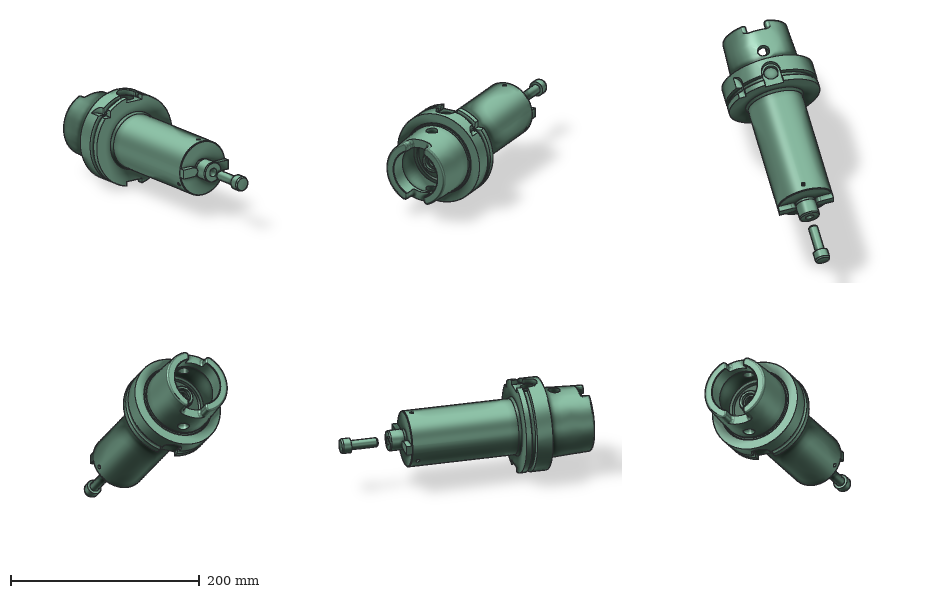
import cadquery as cq

GAUGE_DIAMETER = 75.5
TAPER_RATIO = 0.1
TAPER_EDGE_RADIUS = 1.5
NECK_DIAMETER = 74.0
NECK_LENGTH = 2.7
NECK_BEVEL_LENGTH = 1.0
CLAMP_BORE_DIAMETER = 53.0
CLAMP_BORE_DEPTH = 51.3
CLAMP_BORE_MOUTH_DIAMETER = 54.3
CLAMP_BORE_MOUTH_LENGTH = 0.5
CLAMP_BORE_FLOOR_CHAMFER = 1.5
CAVITY_DIAMETER = 60.0
CAVITY_START = 18.5
ACCESS_HOLE_DIAMETER = 12.5
ACCESS_HOLE_X = 35.5

DRIVE_SLOT_WIDTH = 20.2
DRIVE_SLOT_TOP_DEPTH = 10.3
DRIVE_SLOT_BOTTOM_DEPTH = 14.8
DRIVE_SLOT_CORNER_RADIUS = 2.5
DRIVE_SLOT_LIP_RADIUS = 3.5
DRIVE_SLOT_INNER_END = 19.0
SELECT_MARGIN = 0.3

HUB_DIAMETER = 24.0
HUB_TIP_DIAMETER = 21.5
HUB_START = 34.5
HUB_CHAMFER_LENGTH = 3.0
HUB_MOUTH_DIAMETER = 16.0
HUB_COUNTERBORE_DIAMETER = 12.0
HUB_MOUTH_DEPTH = 4.0
HUB_COUNTERBORE_DEPTH = 8.0
THROUGH_HOLE_DIAMETER = 9.2

FLANGE_DIAMETER = 100.0
FLANGE_START = 50.0
FLANGE_END = 79.0
FACE_RELIEF_DIAMETER = 79.5
FACE_RELIEF_FLOOR_DIAMETER = 77.2
FACE_RELIEF_DEPTH = 1.0
GRIP_GROOVE_DIAMETER = 91.5
GRIP_GROOVE_START = 67.2
GRIP_GROOVE_END = 73.2
GRIP_GROOVE_FLOOR_START = 68.0
GRIP_GROOVE_FLOOR_END = 71.5
GRIP_GROOVE_BEVEL_START = 72.0
GRIP_GROOVE_BEVEL_DIAMETER = 95.5
FLANGE_SLOT_WIDTH = 20.0
FLANGE_SLOT_CENTRE_X = 64.5
FLANGE_SLOT_FLOOR = 44.0
CHIP_HOLE_DIAMETER = 15.5
CHIP_HOLE_DEPTH = 4.9
NOTCH_OFFSET = 31.5

ARBOR_DIAMETER = 60.0
ARBOR_END = 199.5
ARBOR_CHAMFER = 0.8
ARBOR_ROOT_DIAMETER = 63.7
ARBOR_ROOT_LENGTH = 3.0
PILOT_DIAMETER = 22.0
PILOT_END = 218.2
PILOT_CHAMFER = 1.5
PILOT_EDGE_STEP = 0.5
PILOT_NECK_DIAMETER = 21.5
PILOT_NECK_LENGTH = 2.7

KEY_WIDTH = 10.0
KEY_END = 205.5
KEY_OUTER_FLAT = 29.7

COOLANT_HOLE_X = 192.0
COOLANT_MOUTH_DIAMETER = 4.0
COOLANT_HOLE_DIAMETER = 2.5
COOLANT_MOUTH_DEPTH = 2.7
COOLANT_HOLE_DEPTH = 8.0
COOLANT_HOLE_COUNT = 3

SCREW_START = 229.5
SCREW_END = 270.0
SCREW_SHANK_DIAMETER = 10.0
SCREW_TIP_DIAMETER = 7.3
SCREW_TIP_LENGTH = 1.5
SCREW_HEAD_DIAMETER = 16.0
SCREW_HEAD_LENGTH = 10.3
SCREW_HEAD_END_DIAMETER = 14.0
SCREW_HEAD_CHAMFER = 2.0


def turned(profile):
    """Revolve a list of (x, diameter) points about the X axis; the ends are closed on the axis."""
    outline = [(profile[0][0], 0)]
    outline += [(x, diameter / 2) for x, diameter in profile]
    outline += [(profile[-1][0], 0)]
    return cq.Workplane("XY").polyline(outline).close().revolve(360, (0, 0, 0), (1, 0, 0))


def radial_hole(x, diameter, inner_radius, outer_radius, angle=0):
    """Cylinder pointing away from the axis, turned about X by the angle measured from +Z."""
    hole = cq.Workplane("XY", origin=(x, 0, inner_radius)).circle(diameter / 2)
    return hole.extrude(outer_radius - inner_radius).rotate((0, 0, 0), (1, 0, 0), angle)


def slot_wall_edges(body, x_start, x_end, z_start):
    """Edges on the two walls of the upper drive slot whose centres lie within the given limits."""
    wall_y = DRIVE_SLOT_WIDTH / 2
    edges = []
    for y in (-wall_y, wall_y):
        zone = cq.selectors.BoxSelector(
            (x_start, y - SELECT_MARGIN, z_start), (x_end, y + SELECT_MARGIN, FLANGE_DIAMETER)
        )
        edges += body.edges(zone).vals()
    return edges


def cut_drive_slot(body, depth, angle):
    """Cut a slot into the open end, then round its lips along the taper and its inner corners."""
    height = FLANGE_DIAMETER / 2 - DRIVE_SLOT_INNER_END
    slot = cq.Workplane("XY", origin=(depth / 2, 0, DRIVE_SLOT_INNER_END))
    slot = slot.rect(depth, DRIVE_SLOT_WIDTH).extrude(height)
    body = body.rotate((0, 0, 0), (1, 0, 0), angle).cut(slot)
    lips = slot_wall_edges(body, SELECT_MARGIN, depth - SELECT_MARGIN, CLAMP_BORE_DIAMETER / 2)
    body = body.newObject(lips).fillet(DRIVE_SLOT_LIP_RADIUS)
    corners = slot_wall_edges(body, depth - SELECT_MARGIN, depth + SELECT_MARGIN, DRIVE_SLOT_INNER_END)
    body = body.newObject(corners).fillet(DRIVE_SLOT_CORNER_RADIUS)
    return body.rotate((0, 0, 0), (1, 0, 0), -angle)


def taper_shank():
    """Solid taper with its slots and rounded open end; the bore is cut later."""
    neck_start = FLANGE_START - NECK_LENGTH
    body = turned([
        (0, GAUGE_DIAMETER - TAPER_RATIO * FLANGE_START),
        (neck_start, GAUGE_DIAMETER - TAPER_RATIO * NECK_LENGTH),
        (neck_start + NECK_BEVEL_LENGTH, NECK_DIAMETER),
        (FLANGE_START + FACE_RELIEF_DEPTH, NECK_DIAMETER),
    ])
    body = cut_drive_slot(body, DRIVE_SLOT_TOP_DEPTH, 0)
    body = cut_drive_slot(body, DRIVE_SLOT_BOTTOM_DEPTH, 180)
    return body.faces("<X").edges().fillet(TAPER_EDGE_RADIUS)


def clamping_bore():
    """Undercut bore of the taper, with the coolant hub left standing on its floor."""
    floor_chamfer_start = CLAMP_BORE_DEPTH - CLAMP_BORE_FLOOR_CHAMFER
    bore = turned([
        (0, CLAMP_BORE_MOUTH_DIAMETER),
        (CLAMP_BORE_MOUTH_LENGTH, CLAMP_BORE_DIAMETER),
        (CAVITY_START, CLAMP_BORE_DIAMETER),
        (CAVITY_START, CAVITY_DIAMETER),
        (floor_chamfer_start, CAVITY_DIAMETER),
        (floor_chamfer_start, CLAMP_BORE_DIAMETER),
        (CLAMP_BORE_DEPTH, CLAMP_BORE_DIAMETER - 2 * CLAMP_BORE_FLOOR_CHAMFER),
    ])
    hub = turned([
        (HUB_START, HUB_TIP_DIAMETER),
        (HUB_START + HUB_CHAMFER_LENGTH, HUB_DIAMETER),
        (CLAMP_BORE_DEPTH, HUB_DIAMETER),
    ])
    return bore.cut(hub)


def flange_slot(centre_y, floor_z):
    """Round-ended slot milled along Z, open towards +X."""
    radius = FLANGE_SLOT_WIDTH / 2
    plane = cq.Workplane("XY", origin=(FLANGE_SLOT_CENTRE_X, centre_y, floor_z))
    height = FLANGE_DIAMETER / 2
    straight_length = FLANGE_END - FLANGE_SLOT_CENTRE_X
    straight = plane.rect(straight_length, FLANGE_SLOT_WIDTH).extrude(height)
    straight = straight.translate((straight_length / 2, 0, 0))
    return straight.union(plane.circle(radius).extrude(height))


def flange():
    """Flange disc with its face recess, gripping groove, two slots and corner notch."""
    body = turned([
        (FLANGE_START, FLANGE_DIAMETER),
        (GRIP_GROOVE_START, FLANGE_DIAMETER),
        (GRIP_GROOVE_FLOOR_START, GRIP_GROOVE_DIAMETER),
        (GRIP_GROOVE_FLOOR_END, GRIP_GROOVE_DIAMETER),
        (GRIP_GROOVE_BEVEL_START, GRIP_GROOVE_BEVEL_DIAMETER),
        (GRIP_GROOVE_END, FLANGE_DIAMETER),
        (FLANGE_END, FLANGE_DIAMETER),
    ])
    recess = turned([
        (FLANGE_START, FACE_RELIEF_DIAMETER),
        (FLANGE_START + FACE_RELIEF_DEPTH, FACE_RELIEF_FLOOR_DIAMETER),
    ])
    body = body.cut(recess)
    top_slot = flange_slot(0, FLANGE_SLOT_FLOOR)
    bottom_slot = top_slot.mirror("XY")
    notch = flange_slot(-NOTCH_OFFSET - FLANGE_SLOT_WIDTH / 2, NOTCH_OFFSET)
    chip_hole = radial_hole(
        FLANGE_SLOT_CENTRE_X, CHIP_HOLE_DIAMETER, FLANGE_SLOT_FLOOR - CHIP_HOLE_DEPTH, FLANGE_SLOT_FLOOR
    )
    return body.cut(top_slot).cut(bottom_slot).cut(notch).cut(chip_hole)


def arbor():
    """Arbor with its flared root and the stepped pilot on its end."""
    return turned([
        (FLANGE_END, ARBOR_ROOT_DIAMETER),
        (FLANGE_END + ARBOR_ROOT_LENGTH, ARBOR_DIAMETER),
        (ARBOR_END - ARBOR_CHAMFER, ARBOR_DIAMETER),
        (ARBOR_END, ARBOR_DIAMETER - 2 * ARBOR_CHAMFER),
        (ARBOR_END, PILOT_NECK_DIAMETER),
        (ARBOR_END + PILOT_NECK_LENGTH, PILOT_NECK_DIAMETER),
        (ARBOR_END + PILOT_NECK_LENGTH, PILOT_DIAMETER),
        (PILOT_END - PILOT_CHAMFER, PILOT_DIAMETER),
        (PILOT_END, PILOT_DIAMETER - 2 * PILOT_EDGE_STEP),
    ])


def drive_key(angle):
    """Key reaching from the pilot to the arbor's outside, with a rounded inner end."""
    base_x = ARBOR_END - ARBOR_CHAMFER
    length = KEY_END - base_x
    inner_centre = PILOT_DIAMETER / 2 + KEY_WIDTH / 2
    straight = cq.Workplane("YZ", origin=(base_x, (inner_centre + KEY_OUTER_FLAT) / 2, 0))
    straight = straight.rect(KEY_OUTER_FLAT - inner_centre, KEY_WIDTH).extrude(length)
    rounded_end = cq.Workplane("YZ", origin=(base_x, inner_centre, 0))
    rounded_end = rounded_end.circle(KEY_WIDTH / 2).extrude(length)
    return straight.union(rounded_end).rotate((0, 0, 0), (1, 0, 0), angle)


def centre_hole():
    """Stepped coolant and screw hole from the hub to the pilot's end."""
    return turned([
        (HUB_START, HUB_MOUTH_DIAMETER),
        (HUB_START + HUB_MOUTH_DEPTH, HUB_MOUTH_DIAMETER),
        (HUB_START + HUB_MOUTH_DEPTH, HUB_COUNTERBORE_DIAMETER),
        (HUB_START + HUB_COUNTERBORE_DEPTH, HUB_COUNTERBORE_DIAMETER),
        (HUB_START + HUB_COUNTERBORE_DEPTH, THROUGH_HOLE_DIAMETER),
        (PILOT_END, THROUGH_HOLE_DIAMETER),
    ])


def coolant_hole(angle):
    """Small radial hole with a wider mouth at the arbor's outside."""
    surface = ARBOR_DIAMETER / 2
    mouth_floor = surface - COOLANT_MOUTH_DEPTH
    mouth = radial_hole(COOLANT_HOLE_X, COOLANT_MOUTH_DIAMETER, mouth_floor, surface, angle)
    drilled = radial_hole(
        COOLANT_HOLE_X, COOLANT_HOLE_DIAMETER, surface - COOLANT_HOLE_DEPTH, mouth_floor, angle
    )
    return mouth.union(drilled)


def make_holder():
    """Tool holder: taper shank, flange, arbor and keys in one solid."""
    body = taper_shank().union(flange()).union(arbor())
    for angle in (0, 180):
        body = body.union(drive_key(angle))
    body = body.cut(clamping_bore()).cut(centre_hole())
    for angle in (0, 180):
        access_hole = radial_hole(
            ACCESS_HOLE_X, ACCESS_HOLE_DIAMETER, CLAMP_BORE_DIAMETER / 2, GAUGE_DIAMETER / 2, angle
        )
        body = body.cut(access_hole)
    for index in range(COOLANT_HOLE_COUNT):
        body = body.cut(coolant_hole(index * 360 / COOLANT_HOLE_COUNT))
    return body


def make_screw():
    """Clamping screw, placed in front of the pilot."""
    head_start = SCREW_END - SCREW_HEAD_LENGTH
    return turned([
        (SCREW_START, SCREW_TIP_DIAMETER),
        (SCREW_START + SCREW_TIP_LENGTH, SCREW_SHANK_DIAMETER),
        (head_start, SCREW_SHANK_DIAMETER),
        (head_start, SCREW_HEAD_DIAMETER),
        (SCREW_END - SCREW_HEAD_CHAMFER, SCREW_HEAD_DIAMETER),
        (SCREW_END, SCREW_HEAD_END_DIAMETER),
    ])


holder = make_holder()
screw = make_screw()
result = cq.Compound.makeCompound([holder.val(), screw.val()])